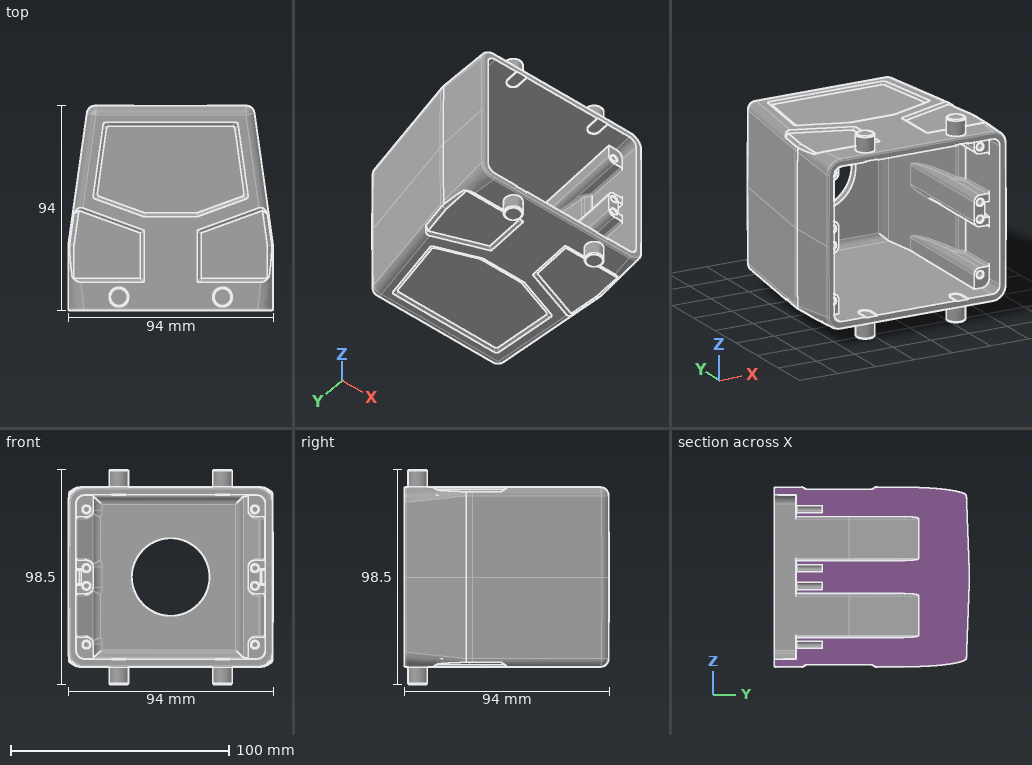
import cadquery as cq
import math

length = 94.0
half_width = 47.0
half_height = 41.25
side_draft = 0.3
side_angle = 8.0
bend_y = 29.9
bend_radius = 20.0
edge_radius = 4.0
rim_corner_radius = 7.0
rim_fillet = 0.8

side_wall = 3.6
height_wall = 3.65
back_wall = 4.0
cavity_draft = 0.5
cavity_corner_radius = 4.0
floor_fillet = 3.5
left_bend_y = 32.0
step_start_y = 31.5
step_end_y = 35.5
step_size = 3.0
step_fillet = 3.0
cable_hole_diameter = 35.5

rib_face_y = 10.0
rib_inner_x = 35.5
rib_corner_radius = 3.0
corner_rib_z = 27.6
middle_rib_half_height = 7.65
screw_x = 38.6
corner_screw_z = 31.0
middle_screw_z = 4.06
screw_hole_diameter = 3.1
screw_hole_depth = 12.0
screw_chamfer = 0.4
rib_foot_radius = 4.0
rib_base_radius = 1.0
notch_inner_x = 41.0
notch_half_height = 3.8
notch_depth = 5.0
notch_draft = 9.0

pin_diameter = 9.0
pin_x = 23.75
pin_y = 6.2
pin_end_z = 49.25
pin_chamfer = 0.6
pin_seat_width = 6.0
pin_seat_end_y = 9.4
pin_seat_depth = 0.35

panel_depth = 1.0
panel_border_angle = 60.0
panel_slope = 20.0
panel_centre_x = 12.2
panel_front_y = 43.0
panel_back_y = 86.3
panel_margin = 8.3
panel_corner_radius = 3.0
panel_inner_radius = 1.0
corner_panel_tool_depth = 3.0
plateau_margin = 2.7
corner_panel_front_y = 13.0
corner_panel_back_y = 36.8

tolerance = 0.01
selection_margin = 0.1
overshoot = 10.0

lean = math.tan(math.radians(side_angle))
bend_tangent = bend_radius * math.tan(math.radians(side_angle / 2))
straight_length = bend_y - bend_tangent
floor_y = length - back_wall
cavity_half_width = half_width - side_wall
cavity_half_height = half_height - height_wall


def mirrored_z(shape):
    return shape.union(shape.mirror("XY"))


def mirrored_x(shape):
    return shape.union(shape.mirror("YZ"))


def side_x(y):
    """Half width of the body at the parting plane in the leaning rear part."""
    return half_width - lean * (y - bend_y)


def upright_edges(shape, y_min, y_max):
    """Nearly vertical edges whose centre lies between two Y positions."""
    edges = shape.edges("not #Z").vals()
    return shape.newObject([edge for edge in edges if y_min < edge.Center().y < y_max])


def rear_half():
    """Upper half of the body behind the straight front part, with rounded outer edges."""
    half = (
        cq.Workplane("XY")
        .polyline([
            (-half_width, -overshoot),
            (half_width, -overshoot),
            (half_width, bend_y),
            (side_x(length), length),
            (-side_x(length), length),
            (-half_width, bend_y),
        ])
        .close()
        .extrude(half_height, taper=side_draft)
    )
    half = upright_edges(half, 0, length / 2).fillet(bend_radius)
    half = upright_edges(half, length / 2, length + overshoot).fillet(edge_radius)
    half = half.cut(cq.Workplane("XY").box(4 * half_width, 2 * straight_length, 4 * half_height))
    front_edge = half.faces(">Z").edges("<Y").val()
    top_edges = [edge for edge in half.faces(">Z").edges().vals() if not edge.isSame(front_edge)]
    return half.newObject(top_edges).fillet(edge_radius)


def front_section(y, radius):
    """Cross-section of the upper half at one Y position."""
    top_x = half_width - half_height * math.tan(math.radians(side_draft))
    section = (
        cq.Sketch()
        .polygon([
            (-half_width, 0),
            (half_width, 0),
            (top_x, half_height),
            (-top_x, half_height),
            (-half_width, 0),
        ])
        .vertices(">Y")
        .fillet(radius)
    )
    return section.moved(cq.Location(cq.Plane((0, y, 0), (1, 0, 0), (0, -1, 0))))


def front_half():
    """Upper half of the straight front part; its corner radius widens towards the rim."""
    rim_section = front_section(0, rim_corner_radius)
    rear_section = front_section(straight_length, edge_radius)
    return cq.Workplane("XY").placeSketch(rim_section, rear_section).loft(ruled=True)


def sunken_panel(points, depth):
    """Cutter with sloping flanks below the top face."""
    return (
        cq.Workplane("XY", origin=(0, 0, half_height))
        .polyline(points)
        .close()
        .extrude(-depth, taper=panel_border_angle)
    )


def centre_panel():
    """Large six-sided panel behind the corner panels."""
    slope = math.tan(math.radians(panel_slope))
    oblique_run = side_x(panel_front_y) - panel_margin - panel_centre_x
    corner_y = panel_front_y + slope * oblique_run / (1 + slope * lean)
    corner_x = side_x(corner_y) - panel_margin
    back_x = side_x(panel_back_y) - panel_margin
    panel = sunken_panel([
        (-panel_centre_x, panel_front_y),
        (panel_centre_x, panel_front_y),
        (corner_x, corner_y),
        (back_x, panel_back_y),
        (-back_x, panel_back_y),
        (-corner_x, corner_y),
    ], panel_depth)
    panel = upright_edges(panel, 0, panel_front_y + 1.5 * panel_depth).fillet(panel_inner_radius)
    return upright_edges(panel, panel_front_y + 3 * panel_depth, length).fillet(panel_corner_radius)


def corner_panels():
    """Panels next to the rim; they run out through the rounded side edges."""
    outer_x = half_width + overshoot
    rise = (outer_x - panel_centre_x) * math.tan(math.radians(panel_slope))
    panel = sunken_panel([
        (panel_centre_x, corner_panel_front_y),
        (outer_x, corner_panel_front_y),
        (outer_x, corner_panel_back_y + rise),
        (panel_centre_x, corner_panel_back_y),
    ], corner_panel_tool_depth)
    panel = panel.edges("not #Z").edges("<X").fillet(panel_inner_radius)
    return mirrored_x(panel)


def plateau():
    """Floor of the corner panels with the slopes that fall from it to the side walls."""
    straight_x = half_width - plateau_margin
    back_x = side_x(length) - plateau_margin
    return (
        cq.Workplane("XY", origin=(0, 0, half_height - panel_depth))
        .polyline([
            (-straight_x, 0),
            (straight_x, 0),
            (straight_x, bend_y),
            (back_x, length),
            (-back_x, length),
            (-straight_x, bend_y),
        ])
        .close()
        .extrude(-corner_panel_tool_depth, taper=-panel_border_angle)
    )


def outer_half():
    """Upper half of the outer shape with its sunken panels."""
    half = rear_half().union(front_half())
    return half.cut(centre_panel()).cut(corner_panels().cut(plateau()))


def cavity():
    """Inner space of the hood before the ribs are taken out of it."""
    left_floor_x = -cavity_half_width + lean * (floor_y - left_bend_y)
    right_floor_x = cavity_half_width - step_size - lean * (floor_y - step_end_y)
    plan = (
        cq.Workplane("XY", origin=(0, 0, -half_height))
        .polyline([
            (-cavity_half_width, 0),
            (cavity_half_width, 0),
            (cavity_half_width, step_start_y),
            (cavity_half_width - step_size, step_end_y),
            (right_floor_x, floor_y),
            (left_floor_x, floor_y),
            (-cavity_half_width, left_bend_y),
        ])
        .close()
        .extrude(2 * half_height)
    )
    step_edges = cq.selectors.BoxSelector(
        (0, step_start_y - selection_margin, -half_height),
        (half_width, step_end_y + selection_margin, half_height),
    )
    plan = plan.edges("|Z").edges(step_edges).fillet(step_fillet)
    section = cq.Sketch().rect(2 * cavity_half_width, 2 * cavity_half_height)
    section = section.vertices().fillet(cavity_corner_radius)
    profile = cq.Workplane("XZ").placeSketch(section).extrude(-floor_y, taper=cavity_draft)
    space = plan.intersect(profile)
    return space.faces(">Y").edges().fillet(floor_fillet)


def rib(z_min, z_max, rounded_corners):
    """Rib along the +X wall, standing on the cavity floor with a concave foot."""
    foot_plate = (
        cq.Workplane("XZ", origin=(0, floor_y, 0))
        .rect(2 * half_width, 4 * half_height)
        .extrude(-back_wall / 2)
    )
    bar = (
        cq.Workplane("XZ", origin=(0, rib_face_y, 0))
        .moveTo(rib_inner_x, z_min)
        .lineTo(half_width, z_min)
        .lineTo(half_width, z_max)
        .lineTo(rib_inner_x, z_max)
        .close()
        .extrude(rib_face_y - floor_y)
        .edges("|Y")
        .edges(rounded_corners)
        .fillet(rib_corner_radius)
    )
    foot_ring = cq.selectors.BoxSelector(
        (rib_inner_x - 1, floor_y - 1, z_min - 1),
        (half_width - selection_margin, floor_y + 1, z_max + 1),
    )
    return foot_plate.union(bar).edges(foot_ring).fillet(rib_foot_radius)


def screw_hole(z):
    """Blind screw hole with a countersunk mouth in the front face of a rib."""
    chamfer_radius = screw_hole_diameter / 2 + screw_chamfer
    plane = cq.Workplane("XZ", origin=(screw_x, rib_face_y, z))
    bore = plane.circle(screw_hole_diameter / 2).extrude(-screw_hole_depth)
    cone = cq.Workplane(cq.Solid.makeCone(
        chamfer_radius, chamfer_radius - screw_chamfer, screw_chamfer,
        cq.Vector(screw_x, rib_face_y, z), cq.Vector(0, 1, 0)))
    return bore.union(cone)


def corner_rib():
    bar = rib(corner_rib_z, half_height + overshoot, "<X and <Z")
    return bar.cut(screw_hole(corner_screw_z))


def middle_rib():
    """Rib with two screw holes and a tapered notch next to the wall."""
    bar = rib(-middle_rib_half_height, middle_rib_half_height, "<X")
    notch = (
        cq.Workplane("XZ", origin=(notch_inner_x + overshoot / 2, rib_face_y, 0))
        .rect(overshoot, 2 * notch_half_height)
        .extrude(-notch_depth, taper=notch_draft)
    )
    bar = bar.cut(notch)
    for z in (-middle_screw_z, middle_screw_z):
        bar = bar.cut(screw_hole(z))
    return bar


def add_ribs(space):
    """Take the screw ribs out of the cavity space, so that they stay as material."""
    ribs = mirrored_x(mirrored_z(corner_rib()).union(middle_rib()))
    space = space.cut(ribs)
    flank_heights = (corner_rib_z, middle_rib_half_height)
    base_edges = [
        edge for edge in space.edges().vals()
        if abs(edge.Center().x) > notch_inner_x - rib_base_radius
        and edge.BoundingBox().zlen < tolerance
        and edge.BoundingBox().ylen > rib_base_radius / 2
        and any(abs(abs(edge.Center().z) - height) < tolerance for height in flank_heights)
    ]
    return space.newObject(base_edges).fillet(rib_base_radius)


def pins():
    pin = (
        cq.Workplane("XY", origin=(pin_x, pin_y, cavity_half_height + pin_seat_depth))
        .circle(pin_diameter / 2)
        .extrude(pin_end_z - cavity_half_height - pin_seat_depth)
        .faces(">Z")
        .chamfer(pin_chamfer)
    )
    return mirrored_z(mirrored_x(pin))


def pin_seats():
    """Shallow round-ended grooves in the cavity wall under the pins, open at the rim."""
    end_centre_y = pin_seat_end_y - pin_seat_width / 2
    seat = (
        cq.Workplane("XY", origin=(pin_x, 0, cavity_half_height - pin_seat_depth))
        .moveTo(-pin_seat_width / 2, -overshoot)
        .lineTo(pin_seat_width / 2, -overshoot)
        .lineTo(pin_seat_width / 2, end_centre_y)
        .threePointArc((0, pin_seat_end_y), (-pin_seat_width / 2, end_centre_y))
        .close()
        .extrude(2 * pin_seat_depth)
    )
    return mirrored_z(mirrored_x(seat))


def cable_hole():
    return (
        cq.Workplane("XZ", origin=(0, floor_y - back_wall, 0))
        .circle(cable_hole_diameter / 2)
        .extrude(-4 * back_wall)
    )


body = mirrored_z(outer_half())
body = body.faces("<Y").edges().fillet(rim_fillet)
body = body.union(pins())
result = body.cut(add_ribs(cavity())).cut(pin_seats()).cut(cable_hole())